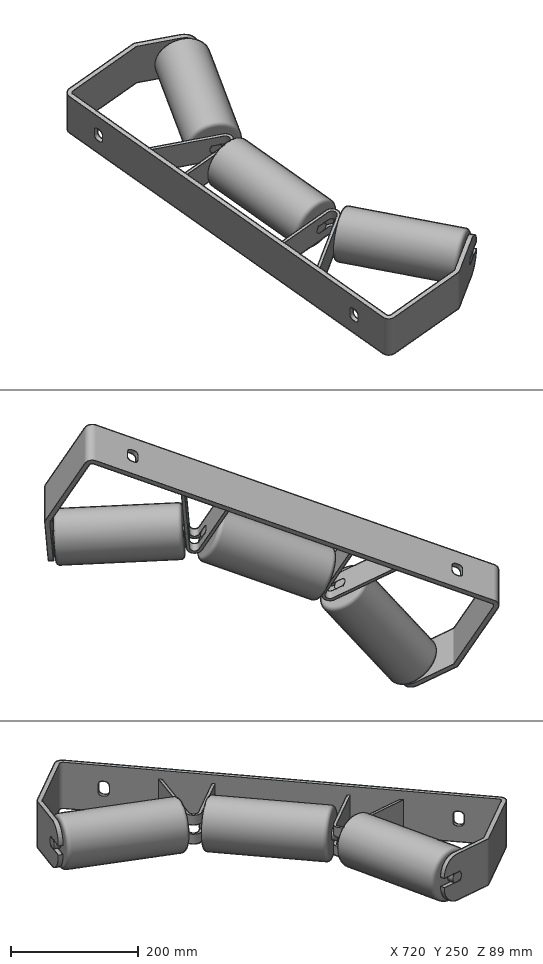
import cadquery as cq
import math

frame_length = 720.0
bar_width = 80.0
frame_thickness = 8.0
bend_radius = 13.0
lean_angle = 30.0
arm_bend_height = 152.0
arm_length = 101.0
arm_tip_radius = 30.0
mount_hole_spacing = 566.0
mount_hole_width = 18.0
mount_hole_height = 25.0
mount_hole_corner_radius = 7.0

bracket_width = 50.0
bracket_thickness = 5.0
bracket_face_x = 105.0
bracket_top = 129.0

roller_diameter = 89.0
roller_length = 201.5
roller_edge_radius = 6.5
shaft_diameter = 20.0
shaft_flat_width = 16.0
shaft_flat_lead = 2.0
center_axis_height = 101.0
side_axis_on_arm = 70.5

frame_inner_radius = bend_radius - frame_thickness
bracket_inner_radius = bend_radius - bracket_thickness
lean = math.radians(lean_angle)
along_arm = cq.Vector(math.sin(lean), math.cos(lean))
outward = cq.Vector(-math.cos(lean), math.sin(lean))
lean_heading = 180 - lean_angle

corner_bend = cq.Vector(-frame_length / 2 + bend_radius, bend_radius)
arm_bend = cq.Vector(corner_bend.x, arm_bend_height)
bracket_bend = cq.Vector(-bracket_face_x - bend_radius, bracket_top - bend_radius)

arm_axis_point = arm_bend + along_arm * side_axis_on_arm + outward * frame_inner_radius
leg_axis_offset = (arm_axis_point - bracket_bend).dot(along_arm)
leg_axis_point = bracket_bend + along_arm * leg_axis_offset + outward * bend_radius
side_span = (arm_axis_point - leg_axis_point).Length
center_span = 2 * bracket_face_x


def on_bend(center, radius, angle):
    """Point of a bend at the given angle in degrees from +X."""
    turn = math.radians(angle)
    return (center.x + radius * math.cos(turn), center.y + radius * math.sin(turn))


def beyond(point, distance):
    """Point moved along the leaning direction of the left arm."""
    return (point[0] + along_arm.x * distance, point[1] + along_arm.y * distance)


def foot_below(point):
    """Where the leaning line through a point meets the inner face of the frame base."""
    return beyond(point, (frame_thickness - point[1]) / along_arm.y)


def shaft_profile(plane, slot_length=0.0):
    """Shaft section with two flats, its +X end moved out by slot_length."""
    radius = shaft_diameter / 2
    half_width = shaft_flat_width / 2
    flat_end = math.sqrt(radius**2 - half_width**2)
    return (
        cq.Workplane(plane)
        .moveTo(-flat_end, -half_width)
        .lineTo(flat_end + slot_length, -half_width)
        .threePointArc((radius + slot_length, 0), (flat_end + slot_length, half_width))
        .lineTo(-flat_end, half_width)
        .threePointArc((-radius, 0), (-flat_end, -half_width))
        .close()
    )


def mirrored(body):
    return body.mirror("YZ")


arm_plane = cq.Plane(arm_axis_point, xDir=along_arm, normal=outward)
leg_plane = cq.Plane(leg_axis_point, xDir=along_arm, normal=outward * -1)
center_plane = cq.Plane((-bracket_face_x, center_axis_height, 0), xDir=(0, 1, 0), normal=(-1, 0, 0))


def make_frame():
    lean_outer = on_bend(arm_bend, bend_radius, lean_heading)
    lean_inner = on_bend(arm_bend, frame_inner_radius, lean_heading)
    mid_arm_bend = (180 + lean_heading) / 2
    half = (
        cq.Workplane("XY")
        .moveTo(0, 0)
        .lineTo(*on_bend(corner_bend, bend_radius, 270))
        .threePointArc(on_bend(corner_bend, bend_radius, 225), on_bend(corner_bend, bend_radius, 180))
        .lineTo(*on_bend(arm_bend, bend_radius, 180))
        .threePointArc(on_bend(arm_bend, bend_radius, mid_arm_bend), lean_outer)
        .lineTo(*beyond(lean_outer, arm_length))
        .lineTo(*beyond(lean_inner, arm_length))
        .lineTo(*lean_inner)
        .threePointArc(
            on_bend(arm_bend, frame_inner_radius, mid_arm_bend),
            on_bend(arm_bend, frame_inner_radius, 180),
        )
        .lineTo(*on_bend(corner_bend, frame_inner_radius, 180))
        .threePointArc(
            on_bend(corner_bend, frame_inner_radius, 225),
            on_bend(corner_bend, frame_inner_radius, 270),
        )
        .lineTo(0, frame_thickness)
        .close()
        .extrude(bar_width / 2, both=True)
    )

    half = half.edges(cq.selectors.ParallelDirSelector(outward)).fillet(arm_tip_radius)

    slot = shaft_profile(arm_plane, arm_length).extrude(frame_thickness)
    half = half.cut(slot)

    mount_hole = (
        cq.Workplane("XZ", origin=(-mount_hole_spacing / 2, 0, 0))
        .rect(mount_hole_width, mount_hole_height)
        .extrude(-frame_thickness)
        .edges("|Y")
        .fillet(mount_hole_corner_radius)
    )
    half = half.cut(mount_hole)
    return half.union(mirrored(half))


def make_left_bracket():
    lean_outer = on_bend(bracket_bend, bend_radius, lean_heading)
    lean_inner = on_bend(bracket_bend, bracket_inner_radius, lean_heading)
    mid_bend = lean_heading / 2
    hairpin = (
        cq.Workplane("XY")
        .moveTo(-bracket_face_x, frame_thickness)
        .lineTo(*on_bend(bracket_bend, bend_radius, 0))
        .threePointArc(on_bend(bracket_bend, bend_radius, mid_bend), lean_outer)
        .lineTo(*foot_below(lean_outer))
        .lineTo(*foot_below(lean_inner))
        .lineTo(*lean_inner)
        .threePointArc(
            on_bend(bracket_bend, bracket_inner_radius, mid_bend),
            on_bend(bracket_bend, bracket_inner_radius, 0),
        )
        .lineTo(-bracket_face_x - bracket_thickness, frame_thickness)
        .close()
        .extrude(bracket_width / 2, both=True)
    )

    for plane in (center_plane, leg_plane):
        slot = shaft_profile(plane, bracket_top).extrude(bend_radius)
        hairpin = hairpin.cut(slot)
    return hairpin


def shaft_flat_cutter(plane, depth):
    """Pair of blocks that flatten a shaft end passing through a plate of the given depth."""
    block_height = shaft_diameter / 2
    block_center = (shaft_flat_width + block_height) / 2
    return (
        cq.Workplane(plane)
        .workplane(offset=-shaft_flat_lead)
        .pushPoints([(0, -block_center), (0, block_center)])
        .rect(shaft_diameter, block_height)
        .extrude(shaft_flat_lead + depth)
    )


def make_roller(first_plane, first_depth, second_plane, second_depth, span):
    """Roller between two plates, its shaft ends flush with their far faces."""
    drum_gap = (span - roller_length) / 2
    drum = (
        cq.Workplane(first_plane)
        .workplane(offset=-drum_gap)
        .circle(roller_diameter / 2)
        .extrude(-roller_length)
        .edges()
        .fillet(roller_edge_radius)
    )
    shaft = (
        cq.Workplane(first_plane)
        .workplane(offset=first_depth)
        .circle(shaft_diameter / 2)
        .extrude(-(first_depth + span + second_depth))
        .cut(shaft_flat_cutter(first_plane, first_depth))
        .cut(shaft_flat_cutter(second_plane, second_depth))
    )
    return drum.union(shaft)


frame = make_frame()
left_bracket = make_left_bracket()
right_bracket = mirrored(left_bracket)

far_center_plane = cq.Plane((bracket_face_x, center_axis_height, 0), xDir=(0, 1, 0), normal=(1, 0, 0))
center_roller = make_roller(
    center_plane, bracket_thickness, far_center_plane, bracket_thickness, center_span
)
left_roller = make_roller(arm_plane, frame_thickness, leg_plane, bracket_thickness, side_span)
right_roller = mirrored(left_roller)

bodies = [frame, left_bracket, right_bracket, center_roller, left_roller, right_roller]
result = cq.Compound.makeCompound([body.solids().val() for body in bodies])